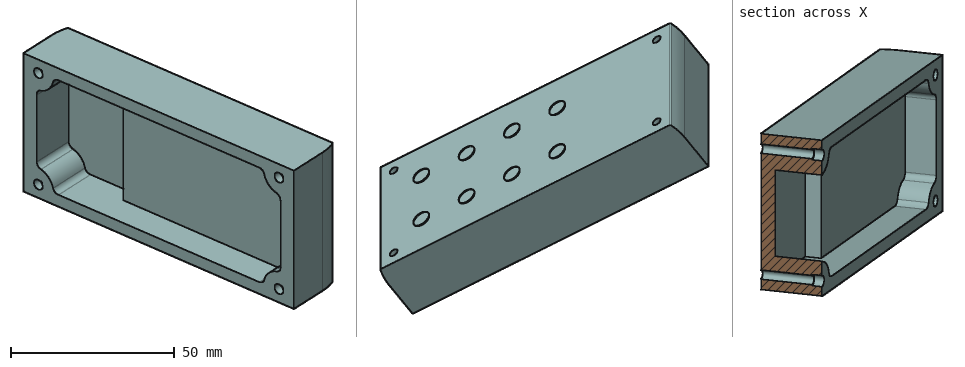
import cadquery as cq
import math

length = 107.3
thickness = 20.4
height = 49.7

pad_diameter = 5.7
pad_height = 0.3
pad_pitch_x = 16.4
pad_first_x = -11.7
pad_columns = 4
pad_row_z = 10.5

body_depth = thickness - pad_height
bow_start_y = 13.6
bow_inset = 1.1
back_edge_radius = 0.5

pocket_length = 96.7
pocket_height = 41.1
shallow_depth = 10.2
deep_depth = 15.3
step_x = -22.4
island_radius = 6.7
island_blend_radius = 2.1

hole_span_x = 95.4
hole_span_z = 40.0
hole_diameter = 2.8
mouth_diameter = 3.4
mouth_depth = 3.2


def y_plane(y):
    """Plane at the given Y with local axes X and Z; extruding goes toward -Y."""
    return cq.Workplane("XZ", origin=(0, y, 0))


def make_body():
    """Block whose two ends curve inward toward the back, starting tangent to the end faces."""
    half_length = length / 2
    bow_depth = body_depth - bow_start_y
    bow_radius = (bow_depth**2 + bow_inset**2) / (2 * bow_inset)
    half_angle = math.asin(bow_depth / bow_radius) / 2
    middle_x = half_length - bow_radius * (1 - math.cos(half_angle))
    middle_y = bow_start_y + bow_radius * math.sin(half_angle)
    back_x = half_length - bow_inset
    return (
        cq.Workplane("XY", origin=(0, 0, -height / 2))
        .moveTo(-half_length, 0)
        .lineTo(half_length, 0)
        .lineTo(half_length, bow_start_y)
        .threePointArc((middle_x, middle_y), (back_x, body_depth))
        .lineTo(-back_x, body_depth)
        .threePointArc((-middle_x, middle_y), (-half_length, bow_start_y))
        .close()
        .extrude(height)
        .faces(">Y")
        .edges("|Z")
        .fillet(back_edge_radius)
    )


def make_pocket():
    """Pocket volume: deep on the left of the step, shallow on the right."""
    outline = y_plane(deep_depth).rect(pocket_length, pocket_height).extrude(deep_depth)
    islands = (
        y_plane(deep_depth)
        .rect(pocket_length, pocket_height, forConstruction=True)
        .vertices()
        .circle(island_radius)
        .extrude(deep_depth)
    )
    outline = outline.cut(islands).edges("|Y").fillet(island_blend_radius)
    raised_floor = cq.Workplane("XY").box(
        pocket_length / 2 - step_x,
        deep_depth - shallow_depth,
        pocket_height,
        centered=(False, False, True),
    )
    return outline.cut(raised_floor.translate((step_x, shallow_depth, 0)))


def make_screw_holes(diameter, depth):
    """Four round cutters reaching from the front face to the given depth."""
    return (
        y_plane(depth)
        .rect(hole_span_x, hole_span_z, forConstruction=True)
        .vertices()
        .circle(diameter / 2)
        .extrude(depth)
    )


def make_pads():
    """Two rows of round pads, extended into the back wall so they join it."""
    overlap = body_depth - deep_depth
    centres = [
        (pad_first_x + column * pad_pitch_x, row_z)
        for column in range(pad_columns)
        for row_z in (-pad_row_z, pad_row_z)
    ]
    return (
        y_plane(thickness)
        .pushPoints(centres)
        .circle(pad_diameter / 2)
        .extrude(pad_height + overlap)
    )


result = (
    make_body()
    .union(make_pads())
    .cut(make_pocket())
    .cut(make_screw_holes(hole_diameter, body_depth))
    .cut(make_screw_holes(mouth_diameter, mouth_depth))
)